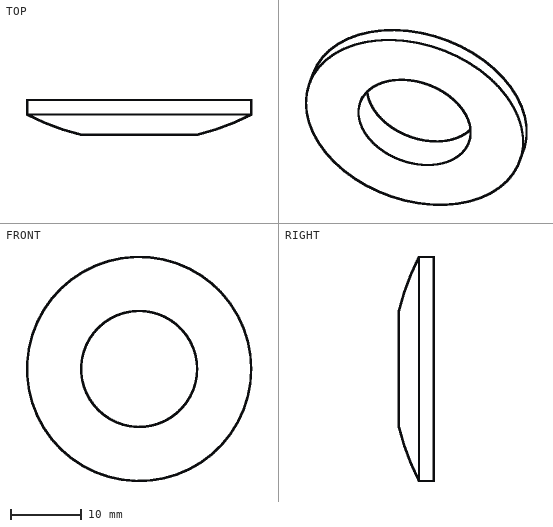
import cadquery as cq
import math

outer_radius = 16.0
hole_radius = 8.25
thickness = 5.0
dome_radius = 35.0
seat_y = -thickness


def dome_y(radius):
    """Y of the spherical face at a distance from the axis."""
    center_y = seat_y + math.sqrt(dome_radius**2 - hole_radius**2)
    return center_y - math.sqrt(dome_radius**2 - radius**2)


middle_radius = (hole_radius + outer_radius) / 2
section = (
    cq.Workplane("XY")
    .moveTo(hole_radius, 0)
    .lineTo(outer_radius, 0)
    .lineTo(outer_radius, dome_y(outer_radius))
    .threePointArc((middle_radius, dome_y(middle_radius)), (hole_radius, seat_y))
    .close()
)
result = section.revolve(360, (0, 0, 0), (0, 1, 0))